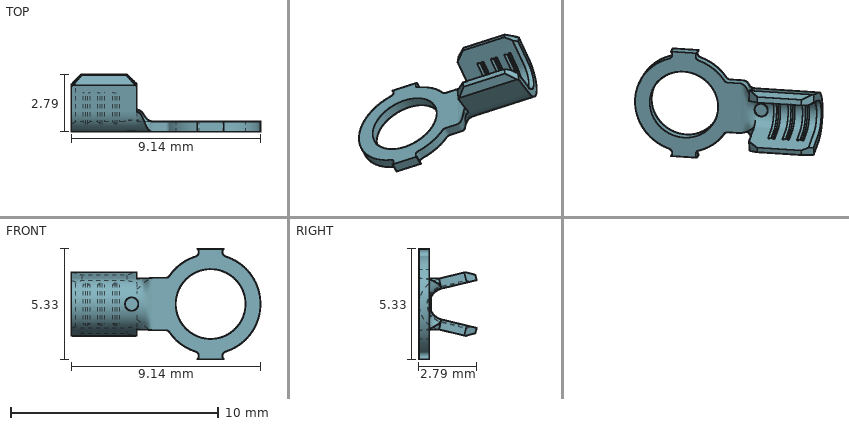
import cadquery as cq
import math


overall_length = 9.144
overall_height = 5.334
overall_depth = 2.794
sheet = 0.508

eye_radius = 2.413
stud_hole_radius = 1.68
tab_neck_half_width = 0.576
tab_fillet = 0.22

neck_half_height = 1.27
neck_fillet = 0.2
transition_length = 0.75
barrel_length = 3.175
bend_sections = [
    (0.25, (0.75, 1.25), (0.95, 0.95)),
    (0.48, (0.22, 1.25), (0.64, 1.15)),
]

barrel_radius = 1.27
wing_angle = math.radians(13.5)
wing_tip_thickness = 0.27
wing_bevel = 0.43
wing_corner = 0.5
mouth_length = 0.2
mouth_depth = 0.127

groove_count = 3
groove_start = 0.56
groove_pitch = 0.71
groove_width = 0.33
groove_depth = 0.1
groove_flank = 0.12
groove_end_y = 1.912

dimple_radius = 0.323
dimple_center = 2.92
dimple_height = 0.585

barrel_start_x = eye_radius - overall_length
barrel_end_x = barrel_start_x + barrel_length
neck_start_x = barrel_end_x + transition_length
bore_radius = barrel_radius - sheet
wing_sin = math.sin(wing_angle)
wing_cos = math.cos(wing_angle)


def wing_point(radius, distance):
    """(Y, Z) on the upper wing, at an offset from the bend axis and a distance past the bend."""
    y = barrel_radius - radius * wing_sin + distance * wing_cos
    z = radius * wing_cos + distance * wing_sin
    return y, z


def distance_to_depth(y):
    """Distance along the wing's inner face, past the bend, at which it reaches a given Y."""
    return (y - wing_point(bore_radius, 0)[0]) / wing_cos


wing_length = distance_to_depth(overall_depth)


def mirrored(point):
    return point[0], -point[1]


def section_plane(x):
    """Plane across the barrel at X, with local axes along Y and Z."""
    return cq.Plane(origin=(x, 0, 0), xDir=(0, 1, 0), normal=(1, 0, 0))


def u_outline(workplane, radius, wing_points):
    """Closed outline: arc around the bend, then both wings through the given points."""
    bend_end = wing_point(radius, 0)
    arc_middle = (barrel_radius - radius, 0)
    outline = workplane.moveTo(*mirrored(bend_end)).threePointArc(arc_middle, bend_end)
    for point in wing_points:
        outline = outline.lineTo(*point)
    for point in reversed(wing_points):
        outline = outline.lineTo(*mirrored(point))
    return outline.close()


def bore_slice(x_from, x_to, radius_from, radius_to, distance):
    """Solid filling the space between the wings, tapering from one bore radius to another."""
    start = u_outline(cq.Workplane(section_plane(x_from)), radius_from, [wing_point(radius_from, distance)])
    end_plane = start.workplane(offset=x_to - x_from)
    return u_outline(end_plane, radius_to, [wing_point(radius_to, distance)]).loft(ruled=True, combine=True)


def wing_corner_cut(x, direction):
    """Prism removing the 45 degree corners of both wings at one end of the barrel.

    The direction is +1 where the barrel extends toward +X from that end, -1 where it extends toward -X.
    """
    outward = (0, -wing_sin, wing_cos)
    plane = cq.Plane(
        origin=(x, barrel_radius, 0),
        xDir=(direction, 0, 0),
        normal=tuple(direction * component for component in outward),
    )
    corner = [(0, wing_length - wing_corner), (wing_corner, wing_length), (0, wing_length)]
    reach_outward = 2 * barrel_radius * direction
    upper = cq.Workplane(plane).polyline(corner).close().extrude(reach_outward)
    return upper.union(upper.mirror("XY"))


def make_barrel():
    tip_outer_radius = bore_radius + wing_tip_thickness
    outer_points = [
        wing_point(barrel_radius, wing_length - wing_bevel),
        wing_point(tip_outer_radius, wing_length),
        wing_point(bore_radius, wing_length),
    ]
    barrel = u_outline(cq.Workplane(section_plane(barrel_start_x)), barrel_radius, outer_points)
    barrel = barrel.extrude(barrel_length)
    past_tips = 2 * wing_length
    bore = bore_slice(barrel_start_x, barrel_end_x, bore_radius, bore_radius, past_tips)
    barrel = barrel.cut(bore)
    barrel = barrel.cut(wing_corner_cut(barrel_start_x, 1))
    barrel = barrel.cut(wing_corner_cut(barrel_end_x, -1))
    mouth_end_x = barrel_start_x + mouth_length
    mouth = bore_slice(barrel_start_x, mouth_end_x, bore_radius + mouth_depth, bore_radius, past_tips)
    return barrel.cut(mouth)


def cut_grooves(body):
    deep_radius = bore_radius + groove_depth
    reach = distance_to_depth(groove_end_y)
    for index in range(groove_count):
        left = barrel_start_x + groove_start + index * groove_pitch
        right = left + groove_width
        floor_left = left + groove_flank
        floor_right = right - groove_flank
        body = body.cut(bore_slice(left, floor_left, bore_radius, deep_radius, reach))
        body = body.cut(bore_slice(floor_left, floor_right, deep_radius, deep_radius, reach))
        body = body.cut(bore_slice(floor_right, right, deep_radius, bore_radius, reach))
    return body


def strip_section(x, outer_edge, inner_edge):
    """Cross-section of the bent strip; its edges sit at the given (Y, Z) points."""
    outline = cq.Workplane(section_plane(x)).moveTo(*mirrored(outer_edge))
    if outer_edge[0] > 0:
        outline = outline.threePointArc((0, 0), outer_edge).lineTo(*inner_edge)
        outline = outline.threePointArc((sheet, 0), mirrored(inner_edge))
    else:
        outline = outline.lineTo(*outer_edge).lineTo(*inner_edge).lineTo(*mirrored(inner_edge))
    return outline.close().val()


def make_transition():
    """Strip flattening out from the round barrel to the flat neck."""
    round_end = strip_section(barrel_end_x, wing_point(barrel_radius, 0), wing_point(bore_radius, 0))
    bends = [strip_section(barrel_end_x + distance, outer, inner) for distance, outer, inner in bend_sections]
    flat_end = strip_section(neck_start_x, (0, neck_half_height), (sheet, neck_half_height))
    return cq.Workplane(cq.Solid.makeLoft([round_end, *bends, flat_end]))


def front_plane():
    """Plane on the front face; local axes are X and Z, extrusions with negative length go toward +Y."""
    return cq.Workplane("XZ")


def make_eye():
    neck_length = -neck_start_x
    neck = front_plane().center(-neck_length / 2, 0).rect(neck_length, 2 * neck_half_height).extrude(-sheet)
    eye = front_plane().circle(eye_radius).extrude(-sheet).union(neck)
    corner_x = -math.sqrt(eye_radius ** 2 - neck_half_height ** 2)
    corner_size = 2 * neck_fillet
    corner_box = cq.selectors.BoxSelector(
        (corner_x - corner_size, -sheet, -neck_half_height - corner_size),
        (corner_x + corner_size, 2 * sheet, neck_half_height + corner_size),
    )
    eye = eye.edges("|Y").edges(corner_box).fillet(neck_fillet)
    fillet_x = tab_neck_half_width + tab_fillet
    fillet_z = math.sqrt((eye_radius + tab_fillet) ** 2 - fillet_x ** 2)
    touch = eye_radius / (eye_radius + tab_fillet)
    tabs = front_plane().rect(2 * fillet_x * touch, overall_height).extrude(-sheet)
    fillet_centers = [(sx * fillet_x, sz * fillet_z) for sx in (-1, 1) for sz in (-1, 1)]
    tabs = tabs.cut(front_plane().pushPoints(fillet_centers).circle(tab_fillet).extrude(-sheet))
    return eye.union(tabs).cut(front_plane().circle(stud_hole_radius).extrude(-sheet))


def make_dimple():
    center_x = barrel_start_x + dimple_center
    return front_plane().center(center_x, 0).circle(dimple_radius).extrude(-dimple_height)


body = cut_grooves(make_barrel())
result = body.union(make_transition()).union(make_eye()).union(make_dimple())